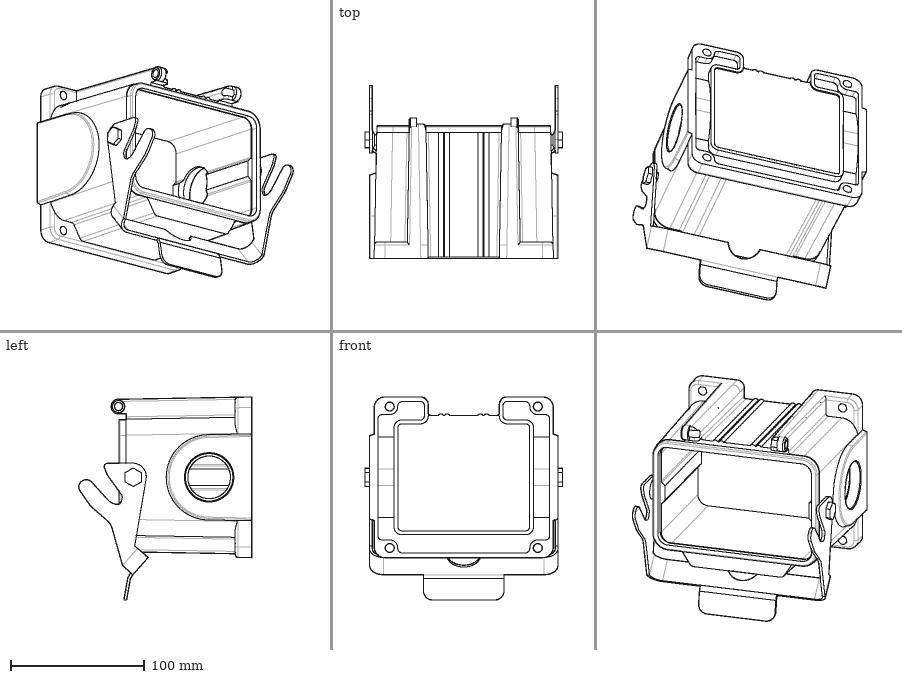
import cadquery as cq
import math


flange_half_x = 67.2
flange_half_z = 60.3
flange_depth = 12.5
flange_corner = 8.0
flange_back_round = 2.3
notch_half_x = 26.6
notch_corner = 5.6
mount_hole_diameter = 6.5
mount_hole_x = 55.5
mount_hole_z = 53.0

groove_depth = 6.0
flange_wall_x = 2.9
flange_wall_z = 3.5
mount_boss_radius = 6.0
groove_boss_round = 3.6
small_round = 3.0
recess_depth = 1.0
recess_half_x = 49.4
recess_half_z = 40.1
rim_width = 2.9
rim_corner = small_round + rim_width

crown_half_flat = 6.1
crown_half_height = 30.3
crown_depth = 1.2

body_length = 94.3
draft_angle = 1.0
draft_drop = body_length * math.tan(math.radians(draft_angle))
body_half_x = 67.0
body_half_z = 45.2
body_corner = 12.0
deck_z = 46.5
base_foot_x = 46.0
base_bottom_x = 38.0
base_bottom_z = -57.6
base_corner = 4.0
base_foot_round = 3.0
base_foot_width = 3.0

rail_outer_x = 42.5
rail_outer_round = 1.7
rail_foot_round = 1.8
rail_foot_width = 4.0
rail_root_z = 38.0
rail_overhang = 6.7

knuckle_y = 99.9
knuckle_radius = 5.6
knuckle_z = flange_half_z - draft_drop - knuckle_radius
knuckle_outer_x = 41.0
knuckle_inner_x = 35.4
knuckle_chamfer = 1.1
knuckle_hole_diameter = 6.0

deck_rib_x = (12.4, 17.2)
deck_rib_half_width = 1.9
deck_rib_height = 1.1

pad_x = 70.7
pad_y = 32.0
pad_radius = 32.3
pad_front_half_z = 33.3
pad_root_x = 65.5
pad_side_angle = 18.0
pad_round = 1.0
entry_diameter = 32.0
entry_bore_diameter = 35.6
entry_bore_depth = 8.5
entry_mouth_chamfer = 0.7

cavity_front = 10.0
cavity_half_x = 60.0
cavity_half_z = 39.5
cavity_corner = 8.0
inner_rib_half_top = crown_half_flat
inner_rib_half_foot = 8.8
inner_rib_height = 3.0
inner_rib_foot_round = 1.5

seal_inset = 0.3
seal_width = 4.2
seal_thickness = 5.4
seal_round = 1.0

sheet = 2.2
lever_outer_x = 70.7
pivot_y = 88.9
pivot_radius = 10.2
pivot_top_z = 10.6
lever_bend_radius = 10.5
bridge_top = (77.6, -60.1)
bridge_bottom = (89.2, -73.1)
bridge_cutout_radius = 13.2
bridge_cutout = (75.2, -57.4)
lever_reach = 150.0
tab_half_width = 30.3
tab_corner = 7.0
tab_bottom_z = -92.03
tab_side = [
    bridge_bottom,
    (90.9, -71.5),
    (93.1, -75.5),
    (96.0, tab_bottom_z),
    (93.8, tab_bottom_z),
    (90.9, -75.9),
]
collar_outer_radius = 7.5
collar_inner_radius = 4.05
collar_neck_x = 66.8
collar_neck_diameter = 7.84

screw_diameter = 6.0
screw_tip_x = 62.0
head_corner_diameter = 13.9
head_height = 3.45


def rounded_outline(workplane, corners):
    """Closed outline through (u, v, radius) corners, each corner rounded by its radius."""
    edges = []
    count = len(corners)
    for i, (u, v, radius) in enumerate(corners):
        before = corners[i - 1]
        after = corners[(i + 1) % count]
        corner = cq.Vector(u, v)
        to_before = (cq.Vector(before[0], before[1]) - corner).normalized()
        to_after = (cq.Vector(after[0], after[1]) - corner).normalized()
        half_angle = to_before.getAngle(to_after) / 2
        setback = radius / math.tan(half_angle)
        middle = (to_before + to_after).normalized() * (radius / math.sin(half_angle) - radius)
        edges.append((corner + to_before * setback, corner + middle, corner + to_after * setback, radius))
    workplane = workplane.moveTo(edges[0][2].x, edges[0][2].y)
    for start, middle, end, radius in edges[1:] + edges[:1]:
        workplane = workplane.lineTo(start.x, start.y)
        if radius > 0:
            workplane = workplane.threePointArc((middle.x, middle.y), (end.x, end.y))
    return workplane.close()


def rectangle(half_u, low_v, high_v, radius):
    """Corners of a rectangle centred on u = 0."""
    return [(-half_u, low_v, radius), (half_u, low_v, radius), (half_u, high_v, radius), (-half_u, high_v, radius)]


def extrude_back(corners, start, depth):
    """Solid with an XZ outline, running from Y = start towards +Y."""
    return rounded_outline(cq.Workplane("XZ", origin=(0, start, 0)), corners).extrude(-depth)


def drafted(outline, length=body_length):
    """Solid along the body whose outline is made by a function of how far the draft has moved."""
    drop = length * math.tan(math.radians(draft_angle))
    front = rounded_outline(cq.Workplane("XZ"), outline(0))
    return rounded_outline(front.workplane(offset=-length), outline(drop)).loft(ruled=True)


def both_sides(solid):
    return solid.union(solid.mirror("YZ"))


def flange_outline(drop):
    half_x = flange_half_x - drop
    half_z = flange_half_z - drop
    right = [
        (half_x, -half_z, flange_corner),
        (half_x, half_z, flange_corner),
        (notch_half_x + drop, half_z, notch_corner),
        (notch_half_x + drop, rail_root_z, 0),
    ]
    left = [(-x, z, radius) for x, z, radius in reversed(right)]
    return right + left


def flange():
    """Flange with its back edge rounded all round; the rails cover the round where they meet it."""
    slab = extrude_back(rectangle(pad_x, -pad_x, pad_x, 0), 0, flange_depth)
    return drafted(flange_outline).intersect(slab).faces(">Y").edges().fillet(flange_back_round)


def body_outline(drop):
    half_z = body_half_z - drop
    return rectangle(body_half_x - drop, -half_z, half_z, body_corner)


def base_outline(drop):
    """Keel below the body with sloping sides."""
    bottom_z = base_bottom_z + drop
    foot_z = drop - body_half_z
    return [
        (-base_foot_x - base_foot_width + drop, 0, 0),
        (-base_foot_x - base_foot_width + drop, foot_z, 0),
        (-base_foot_x + drop, foot_z, base_foot_round),
        (-base_bottom_x + drop, bottom_z, base_corner),
        (base_bottom_x - drop, bottom_z, base_corner),
        (base_foot_x - drop, foot_z, base_foot_round),
        (base_foot_x + base_foot_width - drop, foot_z, 0),
        (base_foot_x + base_foot_width - drop, 0, 0),
    ]


def body():
    return drafted(body_outline).union(drafted(base_outline))


def deck():
    """Flat top between the rails, with its small ribs."""
    slab = extrude_back(rectangle(notch_half_x + 1, rail_root_z, deck_z, 0), 0, body_length)
    for x in deck_rib_x:
        for side in (-1, 1):
            rib = (
                cq.Workplane("XZ")
                .moveTo(side * x - deck_rib_half_width, deck_z)
                .threePointArc((side * x, deck_z + deck_rib_height), (side * x + deck_rib_half_width, deck_z))
                .close()
                .extrude(-body_length)
            )
            slab = slab.union(rib)
    return slab


def rail_outline(drop):
    """Outline of the +X rail with rounded feet on the deck and on the body."""
    outer = rail_outer_x - drop
    inner = notch_half_x + drop
    top = flange_half_z - drop
    shoulder = body_half_z - drop
    return [
        (inner - rail_foot_width, rail_root_z, 0),
        (outer + rail_foot_width, rail_root_z, 0),
        (outer + rail_foot_width, shoulder, 0),
        (outer, shoulder, rail_foot_round),
        (outer, top, rail_outer_round),
        (inner, top, notch_corner),
        (inner, deck_z, rail_foot_round),
        (inner - rail_foot_width, deck_z, 0),
    ]


def rail():
    """Rail on the +X side, its overhanging end and the hinge knuckle."""
    beam = drafted(rail_outline, body_length + rail_overhang)
    undercut = extrude_back(rectangle(pad_x, 0, knuckle_z - knuckle_radius, 0), body_length, rail_overhang)
    end_y = body_length + rail_overhang
    plan = [
        (0, 0, 0),
        (0, body_length, 0),
        (notch_half_x + draft_drop, body_length, 0),
        (notch_half_x + draft_drop, end_y, small_round),
        (pad_x, end_y, 0),
        (pad_x, 0, 0),
    ]
    beam = beam.cut(undercut).intersect(rounded_outline(cq.Workplane("XY"), plan).extrude(flange_half_z))
    knuckle_width = knuckle_outer_x - knuckle_inner_x
    knuckle = (
        cq.Workplane("YZ", origin=(knuckle_inner_x, knuckle_y, knuckle_z))
        .circle(knuckle_radius)
        .extrude(knuckle_width)
        .faces(">X")
        .chamfer(knuckle_chamfer)
    )
    hole = (
        cq.Workplane("YZ", origin=(0, knuckle_y, knuckle_z))
        .circle(knuckle_hole_diameter / 2)
        .extrude(pad_x)
    )
    return beam.union(knuckle).cut(hole)


def entry_pad():
    """Raised pad on the +X side, round at the back and running straight to the front face."""
    pad = (
        cq.Workplane("YZ", origin=(pad_root_x, 0, 0))
        .moveTo(-flange_depth, -pad_front_half_z)
        .lineTo(pad_y, -pad_radius)
        .threePointArc((pad_y + pad_radius, 0), (pad_y, pad_radius))
        .lineTo(-flange_depth, pad_front_half_z)
        .close()
        .extrude(pad_x - pad_root_x, taper=pad_side_angle)
        .faces(">X")
        .edges("not <Y")
        .fillet(pad_round)
    )
    return pad.intersect(extrude_back(rectangle(pad_x, -pad_x, pad_x, 0), 0, body_length))


def face_groove():
    half_x = flange_half_x - flange_wall_x
    half_z = flange_half_z - flange_wall_z
    boss_x = mount_hole_x - mount_boss_radius
    boss_z = mount_hole_z - mount_boss_radius
    outer_right = [
        (boss_x, -half_z, groove_boss_round),
        (boss_x, -boss_z, mount_boss_radius),
        (half_x, -boss_z, small_round),
        (half_x, boss_z, small_round),
        (boss_x, boss_z, mount_boss_radius),
        (boss_x, half_z, groove_boss_round),
        (notch_half_x + rim_width, half_z, small_round),
    ]
    inner_right = [
        (notch_half_x + rim_width, recess_half_z + rim_width, small_round),
        (recess_half_x + rim_width, recess_half_z + rim_width, rim_corner),
        (recess_half_x + rim_width, -recess_half_z - rim_width, rim_corner),
    ]
    right = outer_right + inner_right
    left = [(-x, z, radius) for x, z, radius in reversed(right)]
    return extrude_back(right + left, 0, groove_depth)


def face_recess():
    right = [
        (recess_half_x, -recess_half_z, small_round),
        (recess_half_x, recess_half_z, small_round),
        (notch_half_x, recess_half_z, rim_corner),
        (notch_half_x, flange_half_z, 0),
    ]
    left = [(-x, z, radius) for x, z, radius in reversed(right)]
    return extrude_back(right + left, 0, recess_depth)


def crown():
    """Crowned pad on the +X side: a flat middle falling away in arcs to the groove floor."""
    sag = groove_depth - crown_depth
    run = crown_half_height - crown_half_flat
    radius = (run**2 + sag**2) / (2 * sag)
    half_angle = math.asin(run / radius) / 2
    middle_z = crown_half_flat + radius * math.sin(half_angle)
    middle_y = crown_depth + radius * (1 - math.cos(half_angle))
    inner_x = recess_half_x + rim_width
    outer_x = flange_half_x - flange_wall_x
    return (
        cq.Workplane("YZ", origin=(inner_x, 0, 0))
        .moveTo(groove_depth, -crown_half_height)
        .threePointArc((middle_y, -middle_z), (crown_depth, -crown_half_flat))
        .lineTo(crown_depth, crown_half_flat)
        .threePointArc((middle_y, middle_z), (groove_depth, crown_half_height))
        .close()
        .extrude(outer_x - inner_x)
    )


def cavity():
    room = extrude_back(
        rectangle(cavity_half_x, -cavity_half_z, cavity_half_z, cavity_corner),
        cavity_front,
        body_length - cavity_front,
    )
    rib_outline = [
        (cavity_half_x, -cavity_half_z, 0),
        (cavity_half_x, -inner_rib_half_foot, inner_rib_foot_round),
        (cavity_half_x - inner_rib_height, -inner_rib_half_top, 0),
        (cavity_half_x - inner_rib_height, inner_rib_half_top, 0),
        (cavity_half_x, inner_rib_half_foot, inner_rib_foot_round),
        (cavity_half_x, cavity_half_z, 0),
        (body_half_x, cavity_half_z, 0),
        (body_half_x, -cavity_half_z, 0),
    ]
    rib = extrude_back(rib_outline, cavity_front, body_length - cavity_front)
    return room.cut(both_sides(rib))


def cable_entry():
    """Stepped opening through the -X wall into the cavity."""
    bore = (
        cq.Workplane("YZ", origin=(-pad_x, pad_y, 0)).circle(entry_bore_diameter / 2).extrude(entry_bore_depth)
    )
    through_length = pad_x - cavity_half_x + inner_rib_height
    through = cq.Workplane("YZ", origin=(-pad_x, pad_y, 0)).circle(entry_diameter / 2).extrude(through_length)
    mouth = (
        cq.Workplane("YZ", origin=(-pad_x, pad_y, 0))
        .circle(entry_bore_diameter / 2 + entry_mouth_chamfer)
        .workplane(offset=entry_mouth_chamfer)
        .circle(entry_bore_diameter / 2)
        .loft(ruled=True)
    )
    return bore.union(through).union(mouth)


def screw_shanks(length_to_x):
    shank = (
        cq.Workplane("YZ", origin=(screw_tip_x, pivot_y, 0))
        .circle(screw_diameter / 2)
        .extrude(length_to_x - screw_tip_x)
    )
    return both_sides(shank)


def make_housing():
    solid = flange().union(body()).union(deck()).union(both_sides(rail()))
    solid = solid.union(both_sides(entry_pad()))
    solid = solid.cut(face_groove()).cut(face_recess()).union(both_sides(crown()))
    mount_holes = (
        cq.Workplane("XZ")
        .rect(2 * mount_hole_x, 2 * mount_hole_z, forConstruction=True)
        .vertices()
        .circle(mount_hole_diameter / 2)
        .extrude(-flange_depth)
    )
    solid = solid.cut(mount_holes).cut(cavity()).cut(screw_shanks(lever_outer_x))
    return solid.cut(cable_entry())


def make_seal():
    half_x = body_half_x - draft_drop - seal_inset
    half_z = body_half_z - draft_drop - seal_inset
    outer = extrude_back(rectangle(half_x, -half_z, half_z, body_corner), body_length, seal_thickness)
    outer = outer.faces(">Y").edges().fillet(seal_round)
    opening = rectangle(half_x - seal_width, seal_width - half_z, half_z - seal_width, body_corner - seal_width)
    return outer.cut(extrude_back(opening, body_length, seal_thickness))


def lever_profile():
    """Side outline of the lever, with hook slot and finger, filled across its whole width."""
    corners = [
        (77.2, pivot_top_z, pivot_radius),
        (111.9, pivot_top_z, 2.6),
        (108.5, 1.8, 12.0),
        (96.8, -14.3, 3.5),
        (98.6, -21.0, 3.5),
        (106.0, -19.0, 8.0),
        (124.2, 1.2, 5.6),
        (131.1, -6.9, 5.0),
        (121.0, -21.5, 8.0),
        (105.8, -34.8, 12.0),
        (97.0, -66.0, 0),
        (*bridge_bottom, 0),
        (*bridge_top, 0),
        (87.8, -51.4, 0),
    ]
    return rounded_outline(cq.Workplane("YZ"), corners).extrude(lever_outer_x, both=True)


def folded_sheet():
    """Sheet with a U section, rounded where the arms fold into the bridge."""
    along = cq.Vector(0, bridge_bottom[0] - bridge_top[0], bridge_bottom[1] - bridge_top[1])
    plane = cq.Plane(origin=(0, *bridge_bottom), xDir=(1, 0, 0), normal=along.toTuple())
    shells = []
    for inset in (0, sheet):
        half_x = lever_outer_x - inset
        corners = [
            (-half_x, -inset, lever_bend_radius - inset),
            (half_x, -inset, lever_bend_radius - inset),
            (half_x, -lever_reach, 0),
            (-half_x, -lever_reach, 0),
        ]
        shells.append(rounded_outline(cq.Workplane(plane), corners).extrude(lever_reach, both=True))
    cutout = (
        cq.Workplane(cq.Plane(origin=(0, *bridge_cutout), xDir=(1, 0, 0), normal=plane.yDir.toTuple()))
        .circle(bridge_cutout_radius)
        .extrude(bridge_cutout_radius, both=True)
    )
    return shells[0].cut(shells[1]).cut(cutout)


def tab():
    side = [(*point, 0) for point in tab_side]
    strip = rounded_outline(cq.Workplane("YZ"), side).extrude(tab_half_width, both=True)
    outline = rectangle(tab_half_width, tab_bottom_z, 0, tab_corner)
    return strip.intersect(extrude_back(outline, 0, pivot_y + lever_reach))


def collar():
    """Tapered collar on the inside of the +X arm, with a neck that reaches the side of the body."""
    taper = (
        cq.Workplane("YZ", origin=(collar_neck_x, pivot_y, 0))
        .circle(collar_inner_radius)
        .workplane(offset=lever_outer_x - sheet - collar_neck_x)
        .circle(collar_outer_radius)
        .loft(ruled=True)
    )
    neck = (
        cq.Workplane("YZ", origin=(screw_tip_x, pivot_y, 0))
        .circle(collar_neck_diameter / 2)
        .extrude(collar_neck_x - screw_tip_x)
    )
    return taper.union(neck)


def make_lever():
    collars = both_sides(collar()).cut(drafted(body_outline))
    lever = lever_profile().intersect(folded_sheet()).union(tab()).union(collars)
    return lever.cut(screw_shanks(lever_outer_x))


def make_screw(side):
    """Hexagon head screw; side is +1 or -1 for the side of the body it enters."""
    shank = (
        cq.Workplane("YZ", origin=(screw_tip_x, pivot_y, 0))
        .circle(screw_diameter / 2)
        .extrude(lever_outer_x - screw_tip_x)
    )
    head = (
        cq.Workplane("YZ", origin=(lever_outer_x, pivot_y, 0))
        .transformed(rotate=(0, 0, 90))
        .polygon(6, head_corner_diameter)
        .extrude(head_height)
    )
    screw = shank.union(head)
    return screw if side > 0 else screw.mirror("YZ")


housing = make_housing()
seal = make_seal()
lever = make_lever()
screws = [make_screw(side) for side in (-1, 1)]

result = cq.Compound.makeCompound([housing.val(), seal.val(), lever.val(), *[screw.val() for screw in screws]])